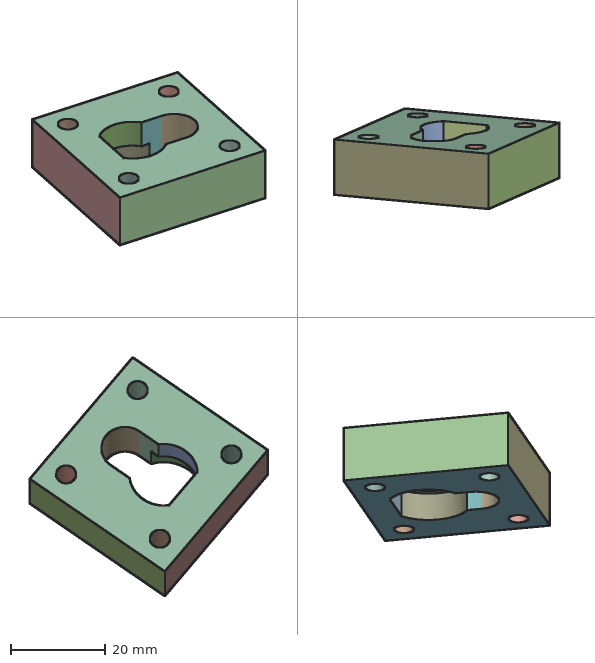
import cadquery as cq
import math

plate_side = 36.0
plate_height = 12.0

hole_diameter = 4.2
hole_pitch = 25.0

neck_radius = 5.0
neck_end_y = 6.3
head_center_y = -4.0
upper_head_radius = 7.25
lower_head_radius = 8.75
lower_depth = plate_height / 2


def keyhole(head_radius, height):
    """Solid keyhole standing on Z = 0, its head cut flat across the neck width."""
    half_chord = math.sqrt(head_radius**2 - neck_radius**2)
    shoulder_y = head_center_y + half_chord
    flat_y = head_center_y - half_chord
    return (
        cq.Workplane("XY")
        .moveTo(-neck_radius, flat_y)
        .lineTo(neck_radius, flat_y)
        .threePointArc((head_radius, head_center_y), (neck_radius, shoulder_y))
        .lineTo(neck_radius, neck_end_y)
        .threePointArc((0, neck_end_y + neck_radius), (-neck_radius, neck_end_y))
        .lineTo(-neck_radius, shoulder_y)
        .threePointArc((-head_radius, head_center_y), (-neck_radius, flat_y))
        .close()
        .extrude(height)
    )


plate = cq.Workplane("XY").box(plate_side, plate_side, plate_height, centered=(True, True, False))

drilled_plate = (
    plate.faces(">Z")
    .workplane()
    .rarray(hole_pitch, hole_pitch, 2, 2)
    .hole(hole_diameter)
)

result = (
    drilled_plate
    .cut(keyhole(upper_head_radius, plate_height))
    .cut(keyhole(lower_head_radius, lower_depth))
)